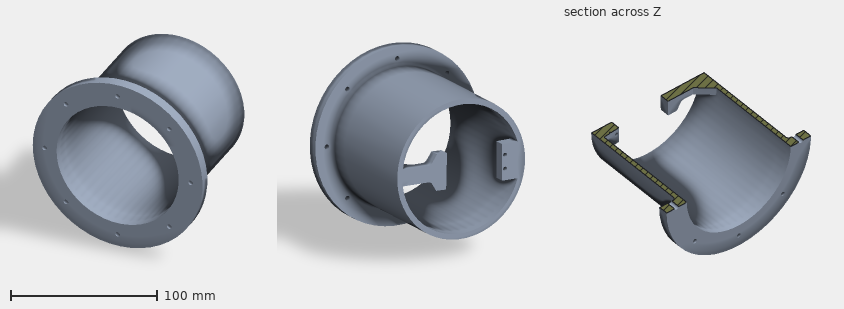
import cadquery as cq
import math

flange_diameter = 128.0
flange_thickness = 8.0
tube_diameter = 100.0
bore_diameter = 92.0
total_length = 98.0
root_fillet = 2.2

bolt_count = 8
bolt_circle_diameter = 110.1
bolt_hole_diameter = 3.5

mount_thickness = 8.0

plate_height = 26.1
plate_inner_x = -32.0
plate_slope = 5.0
plate_hole_diameter = 3.1
plate_hole_inset = 2.3
plate_hole_spacing = 10.0

neck_width = 11.8
head_inner_x = 11.4
head_length = 7.8
head_height = 26.0
shoulder_angle = 57.5
head_tilt = 1.5
neck_fillet = 3.8

flare_start_radius = 33.9
flare_angle = 41.0

bore_radius = bore_diameter / 2
wall_mid_radius = (bore_radius + tube_diameter / 2) / 2
mount_front_y = total_length - mount_thickness


def flanged_tube():
    flange_radius = flange_diameter / 2
    tube_radius = tube_diameter / 2
    fillet_top_y = flange_thickness + root_fillet
    fillet_center_radius = tube_radius + root_fillet
    diagonal = root_fillet * math.sqrt(0.5)
    body = (
        cq.Workplane("XY")
        .moveTo(-bore_radius, 0)
        .lineTo(-flange_radius, 0)
        .lineTo(-flange_radius, flange_thickness)
        .lineTo(-fillet_center_radius, flange_thickness)
        .threePointArc(
            (-fillet_center_radius + diagonal, fillet_top_y - diagonal),
            (-tube_radius, fillet_top_y),
        )
        .lineTo(-tube_radius, total_length)
        .lineTo(-bore_radius, total_length)
        .close()
        .revolve(360, (0, 0, 0), (0, 1, 0))
    )
    bolt_holes = (
        cq.Workplane("XZ")
        .polarArray(bolt_circle_diameter / 2, 0, 360, bolt_count)
        .circle(bolt_hole_diameter / 2)
        .extrude(-flange_thickness)
    )
    return body.cut(bolt_holes)


def plate():
    plate_width = plate_inner_x + wall_mid_radius
    wall_front_y = mount_front_y - plate_width * math.tan(math.radians(plate_slope))
    body = (
        cq.Workplane("XY")
        .moveTo(-wall_mid_radius, wall_front_y)
        .lineTo(plate_inner_x, mount_front_y)
        .lineTo(plate_inner_x, total_length)
        .lineTo(-wall_mid_radius, total_length)
        .close()
        .extrude(plate_height / 2, both=True)
    )
    hole_x = plate_inner_x - plate_hole_inset
    holes = (
        cq.Workplane("XZ")
        .pushPoints([(hole_x, side * plate_hole_spacing / 2) for side in (-1, 1)])
        .circle(plate_hole_diameter / 2)
        .extrude(-total_length)
    )
    return body.cut(holes)


def bracket_head():
    """Block whose sloping shoulders run on until they are inside the neck."""
    half_height = head_height / 2
    half_end = neck_width / 4
    shoulder_x = head_inner_x + head_length
    end_x = shoulder_x + (half_height - half_end) / math.tan(math.radians(shoulder_angle))
    return (
        cq.Workplane("XZ", origin=(0, mount_front_y, 0))
        .polyline(
            [
                (head_inner_x, -half_height),
                (shoulder_x, -half_height),
                (end_x, -half_end),
                (end_x, half_end),
                (shoulder_x, half_height),
                (head_inner_x, half_height),
            ]
        )
        .close()
        .extrude(-mount_thickness)
        .rotate((head_inner_x, 0, 0), (head_inner_x, -1, 0), head_tilt)
    )


def bracket_neck(start_x, flare_front_y):
    """Bar from the head to the tube wall, hollowed by a cone about the Y axis."""
    bar = (
        cq.Workplane("XY")
        .moveTo(start_x, flare_front_y)
        .lineTo(wall_mid_radius, flare_front_y)
        .lineTo(wall_mid_radius, total_length)
        .lineTo(start_x, total_length)
        .close()
        .extrude(neck_width / 2, both=True)
    )
    cone = (
        cq.Workplane("XY")
        .moveTo(0, flare_front_y)
        .lineTo(-bore_radius, flare_front_y)
        .lineTo(-flare_start_radius, mount_front_y)
        .lineTo(0, mount_front_y)
        .close()
        .revolve(360, (0, 0, 0), (0, 1, 0))
    )
    return bar.cut(cone)


def bracket():
    flare_width = bore_radius - flare_start_radius
    flare_front_y = mount_front_y - flare_width * math.tan(math.radians(flare_angle))
    neck_start_x = head_inner_x + head_length
    body = bracket_head().union(bracket_neck(neck_start_x, flare_front_y))
    corner_margin = 1.3
    inner_corners = cq.selectors.BoxSelector(
        (neck_start_x + corner_margin, flare_front_y, -neck_width),
        (flare_start_radius - corner_margin, total_length, neck_width),
    )
    return body.edges("|Y").edges(inner_corners).fillet(neck_fillet)


result = flanged_tube().union(plate()).union(bracket())